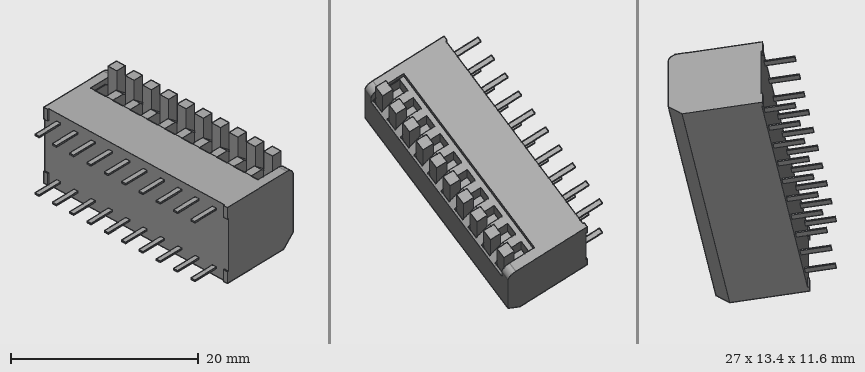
import cadquery as cq


length = 26.95
body_depth = 10.05
body_height = 9.9
back_top_radius = 1.0
back_bottom_chamfer = 1.5

foot_width = 0.6
foot_height = 1.55
foot_projection = 0.15

recess_length = 24.6
recess_depth_y = 4.2
recess_drop = 0.65
slope_run = 1.97
slope_fall = 1.5

position_count = 10
position_span = 22.85
pitch = position_span / (position_count - 1)
slot_width = 1.5
slot_depth_y = 3.37
slot_back_wall = 0.25
slot_drop = 2.7
lever_width = 1.3
lever_depth_y = 1.32
lever_back_gap = 0.2
lever_rise = 1.7

pin_width = 0.6
pin_thickness = 0.202
pin_length = 3.35
lower_pin_z = 1.13
pin_row_spacing = 7.63

recess_floor_z = body_height - recess_drop
slot_floor_z = body_height - slot_drop
slot_back_y = body_depth - slot_back_wall
lever_back_y = slot_back_y - lever_back_gap
position_xs = [i * pitch - position_span / 2 for i in range(position_count)]


def box_at(x_centre, x_size, y_min, y_max, z_min, z_max):
    """Box centred on x_centre and spanning the given Y and Z limits."""
    size = (x_size, y_max - y_min, z_max - z_min)
    return cq.Workplane("XY").box(*size, centered=(True, False, False)).translate((x_centre, y_min, z_min))


def make_body():
    """Block with a rounded upper and a chamfered lower back edge."""
    body = box_at(0, length, 0, body_depth, 0, body_height)
    body = body.edges(">Y and >Z").fillet(back_top_radius)
    return body.edges(">Y and <Z").chamfer(back_bottom_chamfer)


def make_recess():
    """Recess volume: a flat floor that slopes down to the back face."""
    slope_top_y = body_depth - slope_run
    slope_end_z = recess_floor_z - slope_fall
    profile = [
        (body_depth - recess_depth_y, body_height),
        (body_depth - recess_depth_y, recess_floor_z),
        (slope_top_y, recess_floor_z),
        (body_depth, slope_end_z),
        (body_depth, body_height),
    ]
    return cq.Workplane("YZ").polyline(profile).close().extrude(recess_length / 2, both=True)


def add_feet(body):
    """Four rectangular feet at the corners of the front face."""
    foot_x = (length - foot_width) / 2
    for x in (-foot_x, foot_x):
        for z in (0, body_height - foot_height):
            body = body.union(box_at(x, foot_width, -foot_projection, 0, z, z + foot_height))
    return body


def add_position(body, x):
    """Slot, lever and pair of pins of one switch position."""
    body = body.cut(box_at(x, slot_width, slot_back_y - slot_depth_y, slot_back_y, slot_floor_z, body_height))
    lever_top_z = body_height + lever_rise
    body = body.union(
        box_at(x, lever_width, lever_back_y - lever_depth_y, lever_back_y, slot_floor_z, lever_top_z)
    )
    for z in (lower_pin_z, lower_pin_z + pin_row_spacing):
        pin_bottom_z = z - pin_thickness / 2
        body = body.union(box_at(x, pin_width, -pin_length, 0, pin_bottom_z, pin_bottom_z + pin_thickness))
    return body


result = add_feet(make_body().cut(make_recess()))
for position_x in position_xs:
    result = add_position(result, position_x)